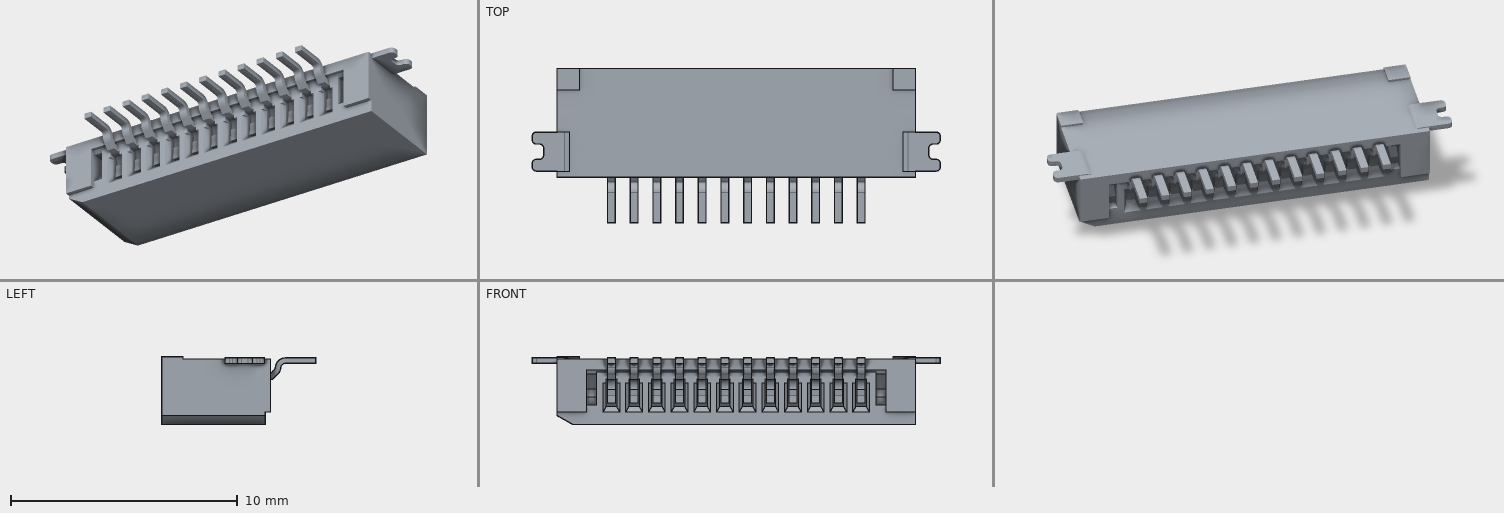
import cadquery as cq
import math

BODY_LENGTH = 15.8
BODY_DEPTH = 4.8
BODY_HEIGHT = 2.9
PAD_LENGTH = 1.0
PAD_DEPTH = 0.95
OVERALL_HEIGHT = 3.0
STEP_DEPTH = 0.23
STEP_HEIGHT = 0.55
KEY_WIDTH = 0.7
KEY_HEIGHT = 0.4

PANEL_LENGTH = 13.2
PANEL_TOP = 2.4
PANEL_BEVEL_HEIGHT = 0.07
BEVEL_ANGLE = 35
POCKET_WIDTH = 0.43
POCKET_BOTTOM = 0.87
POCKET_TOP = 2.24
POCKET_DEPTH = 0.4
POCKET_RAMP_BOTTOM = 1.23
POCKET_RAMP_TOP = 1.57

CONTACT_COUNT = 12
PITCH = 1.0
SLOT_WIDTH = 0.47
SLOT_FLOOR = 0.79
SLOT_TOP = 2.02
SLOT_DEPTH = 1.2
MOUTH_WIDTH = 0.74
MOUTH_TOP = 1.84
MOUTH_DEPTH = 0.27

CONTACT_WIDTH = 0.35
CONTACT_THICKNESS = 0.25
TAIL_REACH = 2.0
TAIL_TOP = 2.95
BEND_START = 0.66
BEND_RADIUS = 0.2
LEG_STEEP_ANGLE = 85
LEG_SHALLOW_ANGLE = 45
ARM_BOTTOM = 2.0
BLADE_FRONT = 0.6
BLADE_BOTTOM = 0.95
NOSE_BOTTOM = 1.28
THROAT_BOTTOM = 1.54
THROAT_DEPTH = 0.11
NOSE_TAPER = 9.5
ROOT = 0.2

TAB_TIP = 9.0
TAB_WIDTH = 1.73
TAB_FRONT = 0.27
TAB_TOP = 2.95
TAB_THICKNESS = 0.25
TAB_FLAT_INSET = 0.32
TAB_BEND_RADIUS = 0.6
NOTCH_WIDTH = 0.66
NOTCH_DEPTH = 0.51
NOTCH_RADIUS = 0.18
LOBE_RADIUS = 0.2


def box(x_range, y_range, z_range):
    """Block spanning three (low, high) ranges."""
    sizes = [high - low for low, high in (x_range, y_range, z_range)]
    corner = (x_range[0], y_range[0], z_range[0])
    return cq.Workplane("XY").box(*sizes, centered=False).translate(corner)


def both_ends(shape):
    """A shape and its mirror image across x = 0."""
    return shape.union(shape.mirror("YZ"))


def extrude_profile(profile, x_start, width):
    """Extrude a closed (y, z) sketch along +X from x_start."""
    return profile.extrude(width).translate((x_start, 0, 0))


def make_body():
    half = BODY_LENGTH / 2
    body = box((-half, half), (0, BODY_DEPTH), (0, BODY_HEIGHT))
    pad = box((-half, -half + PAD_LENGTH), (BODY_DEPTH - PAD_DEPTH, BODY_DEPTH), (0, OVERALL_HEIGHT))
    body = body.union(both_ends(pad))
    body = body.cut(box((-half, half), (0, STEP_DEPTH), (0, STEP_HEIGHT)))
    key = (
        cq.Workplane("XZ")
        .polyline([(-half, 0), (-half + KEY_WIDTH, 0), (-half, KEY_HEIGHT)])
        .close()
        .extrude(-BODY_DEPTH)
    )
    return body.cut(key)


def make_panel():
    """Front recess whose ceiling ends in a short bevel at the back."""
    bevel_depth = PANEL_BEVEL_HEIGHT * math.tan(math.radians(BEVEL_ANGLE))
    profile = cq.Workplane("YZ").polyline(
        [
            (0, STEP_HEIGHT),
            (STEP_DEPTH, STEP_HEIGHT),
            (STEP_DEPTH, PANEL_TOP - PANEL_BEVEL_HEIGHT),
            (STEP_DEPTH - bevel_depth, PANEL_TOP),
            (0, PANEL_TOP),
        ]
    ).close()
    return extrude_profile(profile, -PANEL_LENGTH / 2, PANEL_LENGTH)


def make_pockets():
    """End pockets: the panel's ceiling bevel runs on into them, and the back wall has a ramp."""
    bevel_run = math.tan(math.radians(BEVEL_ANGLE))
    panel_bevel_bottom = PANEL_TOP - PANEL_BEVEL_HEIGHT
    bevel_end = STEP_DEPTH + (panel_bevel_bottom - POCKET_TOP) * bevel_run
    lower_back = STEP_DEPTH + POCKET_DEPTH
    upper_back = lower_back + POCKET_RAMP_TOP - POCKET_RAMP_BOTTOM
    profile = cq.Workplane("YZ").polyline(
        [
            (STEP_DEPTH, POCKET_BOTTOM),
            (lower_back, POCKET_BOTTOM),
            (lower_back, POCKET_RAMP_BOTTOM),
            (upper_back, POCKET_RAMP_TOP),
            (upper_back, POCKET_TOP),
            (bevel_end, POCKET_TOP),
            (STEP_DEPTH, panel_bevel_bottom),
        ]
    ).close()
    return both_ends(extrude_profile(profile, -PANEL_LENGTH / 2, POCKET_WIDTH))


def make_slot():
    """One contact slot with a mouth tapering in from both sides and from below."""
    half = SLOT_WIDTH / 2
    slot = box((-half, half), (STEP_DEPTH, STEP_DEPTH + SLOT_DEPTH), (SLOT_FLOOR, SLOT_TOP))
    mouth = (
        cq.Workplane("XZ", origin=(0, STEP_DEPTH, 0))
        .center(0, (STEP_HEIGHT + MOUTH_TOP) / 2)
        .rect(MOUTH_WIDTH, MOUTH_TOP - STEP_HEIGHT)
        .workplane(offset=-MOUTH_DEPTH)
        .center(0, (SLOT_FLOOR - STEP_HEIGHT) / 2)
        .rect(SLOT_WIDTH, MOUTH_TOP - SLOT_FLOOR)
        .loft(ruled=True)
    )
    return slot.union(mouth)


def arc_point(center, radius, angle):
    """Point on a (y, z) circle; the angle in degrees is measured from +Y towards +Z."""
    turn = math.radians(angle)
    return (center[0] + radius * math.cos(turn), center[1] + radius * math.sin(turn))


def make_contact():
    """Tail, S-bend and straight arm of even thickness, with a blade hanging under the arm."""
    outer_bend = BEND_RADIUS + CONTACT_THICKNESS
    tail_bottom = TAIL_TOP - CONTACT_THICKNESS
    bend = (-BEND_START, tail_bottom - BEND_RADIUS)
    steep_normal = 90 - LEG_STEEP_ANGLE
    shallow_normal = 90 - LEG_SHALLOW_ANGLE
    upper_mid = (90 + steep_normal) / 2
    leg = arc_point(bend, BEND_RADIUS + outer_bend, steep_normal)
    leg_end = 180 + shallow_normal
    leg_mid = 180 + (steep_normal + shallow_normal) / 2
    lower_leg_end = arc_point(leg, outer_bend, leg_end)
    slope = math.radians(LEG_SHALLOW_ANGLE)
    lower_knee = lower_leg_end[0] + (lower_leg_end[1] - ARM_BOTTOM) / math.tan(slope)
    upper_knee = lower_knee + CONTACT_THICKNESS * math.tan(slope / 2)
    arm_top = ARM_BOTTOM + CONTACT_THICKNESS
    back = STEP_DEPTH + SLOT_DEPTH + ROOT
    arm = (
        cq.Workplane("YZ")
        .moveTo(-TAIL_REACH, tail_bottom)
        .lineTo(-BEND_START, tail_bottom)
        .threePointArc(arc_point(bend, BEND_RADIUS, upper_mid), arc_point(bend, BEND_RADIUS, steep_normal))
        .threePointArc(arc_point(leg, outer_bend, leg_mid), lower_leg_end)
        .lineTo(lower_knee, ARM_BOTTOM)
        .lineTo(back, ARM_BOTTOM)
        .lineTo(back, arm_top)
        .lineTo(upper_knee, arm_top)
        .lineTo(*arc_point(leg, BEND_RADIUS, leg_end))
        .threePointArc(arc_point(leg, BEND_RADIUS, leg_mid), arc_point(bend, outer_bend, steep_normal))
        .threePointArc(arc_point(bend, outer_bend, upper_mid), (-BEND_START, TAIL_TOP))
        .lineTo(-TAIL_REACH, TAIL_TOP)
        .close()
    )
    throat_mid = (BLADE_FRONT + THROAT_DEPTH, (THROAT_BOTTOM + ARM_BOTTOM) / 2)
    toe = BLADE_FRONT - (NOSE_BOTTOM - BLADE_BOTTOM) * math.tan(math.radians(NOSE_TAPER))
    blade = (
        cq.Workplane("YZ")
        .moveTo(toe, BLADE_BOTTOM)
        .lineTo(BLADE_FRONT, NOSE_BOTTOM)
        .lineTo(BLADE_FRONT, THROAT_BOTTOM)
        .threePointArc(throat_mid, (BLADE_FRONT, ARM_BOTTOM))
        .lineTo(BLADE_FRONT, arm_top)
        .lineTo(back, arm_top)
        .lineTo(back, BLADE_BOTTOM)
        .close()
    )
    left = -CONTACT_WIDTH / 2
    arm = extrude_profile(arm, left, CONTACT_WIDTH)
    return arm.union(extrude_profile(blade, left, CONTACT_WIDTH))


def make_tabs():
    """Solder tabs: notched flat ends that bend down into the housing's top face."""
    flat_end = -BODY_LENGTH / 2 + TAB_FLAT_INSET
    drop = TAB_TOP - BODY_HEIGHT
    bend_angle = math.acos(1 - drop / TAB_BEND_RADIUS)
    bend_mid = (
        flat_end + TAB_BEND_RADIUS * math.sin(bend_angle / 2),
        TAB_TOP - TAB_BEND_RADIUS * (1 - math.cos(bend_angle / 2)),
    )
    bend_end = flat_end + TAB_BEND_RADIUS * math.sin(bend_angle)
    tab_bottom = TAB_TOP - TAB_THICKNESS
    tab = (
        cq.Workplane("XZ", origin=(0, TAB_FRONT, 0))
        .moveTo(-TAB_TIP, tab_bottom)
        .lineTo(-TAB_TIP, TAB_TOP)
        .lineTo(flat_end, TAB_TOP)
        .threePointArc(bend_mid, (bend_end, BODY_HEIGHT))
        .lineTo(bend_end, tab_bottom)
        .close()
        .extrude(-TAB_WIDTH)
    )
    notch_y = TAB_FRONT + TAB_WIDTH / 2
    notch = box(
        (-TAB_TIP, -TAB_TIP + NOTCH_DEPTH),
        (notch_y - NOTCH_WIDTH / 2, notch_y + NOTCH_WIDTH / 2),
        (tab_bottom, TAB_TOP),
    )
    tab = tab.cut(notch.edges("|Z and >X").fillet(NOTCH_RADIUS))
    tab = tab.edges("|Z and <X").fillet(LOBE_RADIUS)
    return both_ends(tab)


def at_contacts(shape):
    """Copies of a shape at every contact position, as one workplane."""
    row = cq.Workplane("XY")
    for index in range(CONTACT_COUNT):
        x = (index - (CONTACT_COUNT - 1) / 2) * PITCH
        row = row.add(shape.translate((x, 0, 0)).vals())
    return row.combine()


result = make_body().cut(make_panel()).cut(make_pockets())
result = result.cut(at_contacts(make_slot()))
result = result.union(at_contacts(make_contact())).union(make_tabs())